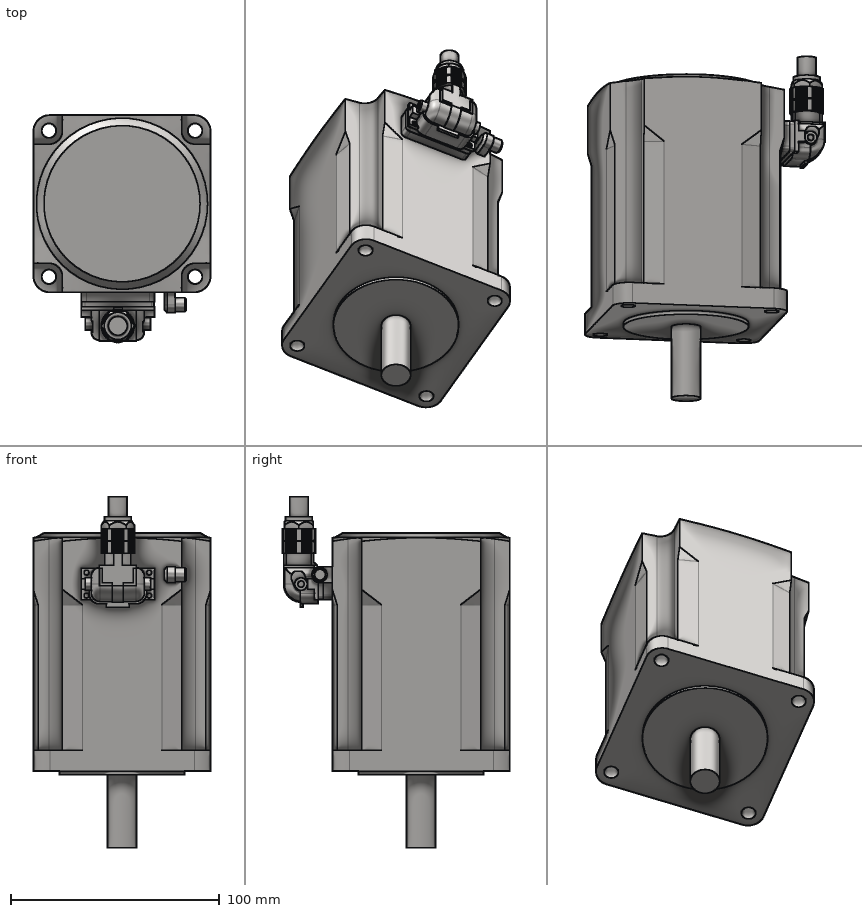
import math

import cadquery as cq

SIDE = 85.0
HALF = SIDE / 2
FLANGE_THICKNESS = 10.0
FLANGE_CORNER_RADIUS = 8.0
BOLT_SPACING = 70.0
BOLT_HOLE_DIAMETER = 6.8
BOLT_RELIEF_RADIUS = 6.5
MOTOR_HEIGHT = 114.15

CAP_FLAT_RADIUS = 37.4
CAP_STEP_RADIUS = 41.0
CAP_STEEP_ANGLE = 30.0
CAP_SHALLOW_ANGLE = 11.0

TAPER_START = 19.0
TAPER_DEPTH = 2.3
TAPER_TOP = 79.7
TAPER_RUNOUT = 7.3

PILOT_DIAMETER = 60.0
PILOT_HEIGHT = 1.8
SHAFT_DIAMETER = 14.0
SHAFT_LENGTH = 36.8

PLUG_X = -2.0
PLUG_Z = 89.6
BASE_WIDTH = 35.2
BASE_HEIGHT = 15.2
BASE_DEPTH = 4.4
BASE_CORNER_RADIUS = 2.5
LIP_DEPTH = 6.8
LIP_INSET = 0.2
LIP_CORNER_RADIUS = 1.5
SEAT_DEPTH = 8.6
SEAT_SCREW_DIAMETER = 2.4
SEAT_SCREW_SPACING_X = 30.0
SEAT_SCREW_SPACING_Z = 11.0
SEAT_SCREW_SINK = 0.8
TONGUE_HEIGHT = 5.1
TONGUE_DEPTH = 11.8

HOUSING_WIDTH = 25.4
HOUSING_TOP = 97.5
HOUSING_BOTTOM = 81.2
HOUSING_DEPTH = 23.0
HOUSING_BEND_RADIUS = 8.5
HOUSING_EDGE_RADIUS = 4.1
CORE_TOP = 98.5
CORE_WIDTH = 17.7
CORE_PROUD = 0.3
PLATE_WIDTH = 14.9
PLATE_HEIGHT = 7.0
PLATE_GROOVE_WIDTH = 1.3
PLATE_GROOVE_DEPTH = 0.5
PLATE_BRIDGE_WIDTH = 5.2

SKIRT_WIDTH = 27.5
SKIRT_BOTTOM = 80.1
SKIRT_TOP = 88.0
SKIRT_DEPTH = 15.3
SKIRT_CORNER_RADIUS = 5.0
TAB_WIDTH = 10.9
TAB_THICKNESS = 1.3
TAB_BOTTOM = 78.6

PIVOT_DIAMETER = 6.0
PIVOT_RECESS_DIAMETER = 3.0
PIVOT_RECESS_DEPTH = 1.0
PIVOT_SPAN = 31.4
PIVOT_DEPTH = 15.0
POCKET_RADIUS = 3.3
POCKET_DEPTH = 0.8
POCKET_END_DEPTH = 16.4
POCKET_END_Z = 92.8

GLAND_DEPTH = 16.0
NECK_RADIUS = 6.3
NECK_KEY_WIDTH = 4.0
NECK_KEY_BACK_DEPTH = 8.8
NECK_KEY_FOOT_DEPTH = 7.2
COLLAR_BOTTOM = 104.4
COLLAR_TOP = 116.1
COLLAR_RADIUS = 8.0
KNURL_DEPTH = 0.4
KNURL_SECTORS = 6
KNURLS_PER_SECTOR = 7
PLAIN_BAND_ANGLE = 18.0
COLLAR_GROOVE_WIDTH = 0.4
NUT_TOP = 120.0
NUT_EDGE_HEIGHT = 1.6
RING_TOP = 121.9
RING_RADIUS = 6.5
CABLE_RADIUS = 4.5
CABLE_TOP = 131.5

ELBOW_X = 20.3
ELBOW_Z = 94.1
ELBOW_LENGTH = 5.2
ELBOW_DIAMETER = 7.8
ELBOW_DEPTH = 5.9
ELBOW_CHAMFER = 1.4
OUTLET_DIAMETER = 6.8
OUTLET_END = 30.8
OUTLET_CHAMFER = 0.8


def side_block(x_center, z_low, z_high, width, depth_start, depth_end):
    """Box on the -Y side, placed by its heights and its depths from that side."""
    return (
        cq.Workplane("XY")
        .box(width, depth_end - depth_start, z_high - z_low, centered=(True, False, False))
        .translate((x_center, -HALF - depth_end, z_low))
    )


def upright_cylinder(radius, z_low, z_high):
    """Cylinder on the cable gland's vertical axis."""
    axis = (PLUG_X, -HALF - GLAND_DEPTH, z_low)
    return cq.Workplane("XY", origin=axis).circle(radius).extrude(z_high - z_low)


def cap_envelope():
    """Solid of revolution that shapes the top end of the motor."""
    corner_radius = HALF * math.sqrt(2)
    steep_drop = (CAP_STEP_RADIUS - CAP_FLAT_RADIUS) * math.tan(math.radians(CAP_STEEP_ANGLE))
    shallow_drop = (corner_radius - CAP_STEP_RADIUS) * math.tan(math.radians(CAP_SHALLOW_ANGLE))
    step_z = MOTOR_HEIGHT - steep_drop
    return (
        cq.Workplane("XZ")
        .moveTo(0, 0)
        .lineTo(corner_radius, 0)
        .lineTo(corner_radius, step_z - shallow_drop)
        .lineTo(CAP_STEP_RADIUS, step_z)
        .lineTo(CAP_FLAT_RADIUS, MOTOR_HEIGHT)
        .lineTo(0, MOTOR_HEIGHT)
        .close()
        .revolve(360, (0, 0, 0), (0, 1, 0))
    )


def corner_relief():
    """Screwdriver clearance over the bolt hole at the +X +Y corner."""
    bolt = BOLT_SPACING / 2
    inner = bolt - BOLT_RELIEF_RADIUS
    size = SIDE - inner
    return (
        cq.Workplane("XY", origin=(inner, inner, FLANGE_THICKNESS))
        .rect(size, size, centered=False)
        .extrude(MOTOR_HEIGHT)
        .edges("|Z and <X and <Y")
        .fillet(BOLT_RELIEF_RADIUS)
    )


def side_taper():
    """Cutter for the taper on the +Y side beside the +X +Y corner relief."""
    run = BOLT_SPACING / 2 - BOLT_RELIEF_RADIUS - TAPER_START
    angle = math.atan2(TAPER_DEPTH, run)
    runout_slope = TAPER_RUNOUT / (run * math.sin(angle))
    reach = 2 * TAPER_DEPTH
    length = 2 * run
    return (
        cq.Workplane("YZ")
        .moveTo(0, FLANGE_THICKNESS)
        .lineTo(reach, FLANGE_THICKNESS)
        .lineTo(reach, TAPER_TOP + reach * runout_slope)
        .lineTo(0, TAPER_TOP)
        .close()
        .extrude(length)
        .rotate((0, 0, 0), (0, 0, 1), -math.degrees(angle))
        .translate((TAPER_START, HALF, 0))
    )


def make_motor():
    body = cq.Workplane("XY").rect(SIDE, SIDE).extrude(MOTOR_HEIGHT)
    body = body.edges("|Z").fillet(FLANGE_CORNER_RADIUS).intersect(cap_envelope())
    relief = corner_relief()
    taper = side_taper()
    for quarter in range(4):
        turn = 90 * quarter
        body = body.cut(relief.rotate((0, 0, 0), (0, 0, 1), turn))
        for cutter in (taper, taper.mirror("YZ")):
            body = body.cut(cutter.rotate((0, 0, 0), (0, 0, 1), turn))
    holes = (
        cq.Workplane("XY")
        .rect(BOLT_SPACING, BOLT_SPACING, forConstruction=True)
        .vertices()
        .circle(BOLT_HOLE_DIAMETER / 2)
        .extrude(FLANGE_THICKNESS)
    )
    pilot = cq.Workplane("XY").circle(PILOT_DIAMETER / 2).extrude(-PILOT_HEIGHT)
    shaft = cq.Workplane("XY").circle(SHAFT_DIAMETER / 2).extrude(-SHAFT_LENGTH)
    return body.cut(holes).union(pilot).union(shaft)


def make_base():
    """Stepped socket block, the plug's screw seat and its side tongues."""
    low = PLUG_Z - BASE_HEIGHT / 2
    high = PLUG_Z + BASE_HEIGHT / 2
    block = side_block(PLUG_X, low, high, BASE_WIDTH, 0, BASE_DEPTH)
    block = block.edges("|Y").fillet(BASE_CORNER_RADIUS)
    lip_width = BASE_WIDTH - 2 * LIP_INSET
    lip = side_block(
        PLUG_X, low + LIP_INSET, high - LIP_INSET, lip_width, BASE_DEPTH, LIP_DEPTH
    )
    lip = lip.edges("|Y").fillet(LIP_CORNER_RADIUS)
    seat = side_block(PLUG_X, low, high, BASE_WIDTH, LIP_DEPTH, SEAT_DEPTH)
    screw_sinks = (
        cq.Workplane("XZ", origin=(PLUG_X, -HALF - SEAT_DEPTH, PLUG_Z))
        .rect(SEAT_SCREW_SPACING_X, SEAT_SCREW_SPACING_Z, forConstruction=True)
        .vertices()
        .circle(SEAT_SCREW_DIAMETER / 2)
        .extrude(-SEAT_SCREW_SINK)
    )
    tongue_low = PLUG_Z - TONGUE_HEIGHT / 2
    tongues = side_block(
        PLUG_X, tongue_low, tongue_low + TONGUE_HEIGHT, BASE_WIDTH, LIP_DEPTH, TONGUE_DEPTH
    )
    return block.union(lip).union(seat.cut(screw_sinks)).union(tongues)


def plate_groove():
    """Groove framing the name plate at the sides and, in two parts, below."""
    front = HOUSING_DEPTH + CORE_PROUD
    floor = front - PLATE_GROOVE_DEPTH
    high = CORE_TOP - PLATE_GROOVE_WIDTH
    low = high - PLATE_HEIGHT
    outer_low = low - PLATE_GROOVE_WIDTH
    outer_width = PLATE_WIDTH + 2 * PLATE_GROOVE_WIDTH
    outer = side_block(PLUG_X, outer_low, high, outer_width, floor, front)
    plate = side_block(PLUG_X, low, high, PLATE_WIDTH, floor, front)
    bridge = side_block(PLUG_X, outer_low, low, PLATE_BRIDGE_WIDTH, floor, front)
    return outer.cut(plate).cut(bridge)


def pivot_pocket(x_start):
    """Oblong pocket of POCKET_DEPTH along X, running up and outwards from the pivot."""
    run = POCKET_END_DEPTH - PIVOT_DEPTH
    rise = POCKET_END_Z - PLUG_Z
    middle_y = -HALF - (PIVOT_DEPTH + POCKET_END_DEPTH) / 2
    middle_z = (PLUG_Z + POCKET_END_Z) / 2
    length = math.hypot(run, rise) + 2 * POCKET_RADIUS
    return (
        cq.Workplane("YZ", origin=(x_start, middle_y, middle_z))
        .slot2D(length, 2 * POCKET_RADIUS, 90 + math.degrees(math.atan2(run, rise)))
        .extrude(POCKET_DEPTH)
    )


def bent_block(width, z_low, z_high, depth):
    """Block on the screw seat with a large bend at its lower outer edge."""
    block = side_block(PLUG_X, z_low, z_high, width, SEAT_DEPTH, depth)
    return block.edges("<Y and <Z").fillet(HOUSING_BEND_RADIUS)


def make_housing():
    """Rounded shell with a raised square core and a strip down its bend."""
    shell = bent_block(HOUSING_WIDTH, HOUSING_BOTTOM, HOUSING_TOP, HOUSING_DEPTH)
    shell = shell.faces("<X or >X").edges("not >Y").fillet(HOUSING_EDGE_RADIUS)
    for x_start in (-HOUSING_WIDTH / 2, HOUSING_WIDTH / 2 - POCKET_DEPTH):
        shell = shell.cut(pivot_pocket(PLUG_X + x_start))
    front = HOUSING_DEPTH + CORE_PROUD
    core_low = CORE_TOP - PLATE_HEIGHT - 2 * PLATE_GROOVE_WIDTH
    core = side_block(PLUG_X, core_low, CORE_TOP, CORE_WIDTH, SEAT_DEPTH, front)
    strip = bent_block(PLATE_BRIDGE_WIDTH, HOUSING_BOTTOM - CORE_PROUD, CORE_TOP, front)
    return shell.union(core).union(strip).cut(plate_groove())


def make_skirt():
    """Rounded apron below the housing with a thin tab at its outer end."""
    skirt = side_block(PLUG_X, SKIRT_BOTTOM, SKIRT_TOP, SKIRT_WIDTH, LIP_DEPTH, SKIRT_DEPTH)
    skirt = skirt.edges("|Y and <Z").fillet(SKIRT_CORNER_RADIUS)
    tab = side_block(
        PLUG_X, TAB_BOTTOM, HOUSING_BOTTOM, TAB_WIDTH, SKIRT_DEPTH - TAB_THICKNESS, SKIRT_DEPTH
    )
    return skirt.union(tab)


def make_pivots():
    """Coaxial bosses on both sides of the housing, recessed at the ends."""
    start = PLUG_X - PIVOT_SPAN / 2
    recess_radius = PIVOT_RECESS_DIAMETER / 2
    axis = (start, -HALF - PIVOT_DEPTH, PLUG_Z)
    bar = cq.Workplane("YZ", origin=axis).circle(PIVOT_DIAMETER / 2).extrude(PIVOT_SPAN)
    bar = bar.faces("<X").workplane().circle(recess_radius).cutBlind(-PIVOT_RECESS_DEPTH)
    return bar.faces(">X").workplane().circle(recess_radius).cutBlind(-PIVOT_RECESS_DEPTH)


def make_collar():
    """Round collar with knurled sectors between plain bands."""
    sector = 360 / KNURL_SECTORS
    knurl_pitch = (sector - PLAIN_BAND_ANGLE) / KNURLS_PER_SECTOR
    collar = upright_cylinder(COLLAR_RADIUS, COLLAR_BOTTOM, COLLAR_TOP)
    knurl_width = COLLAR_RADIUS * math.radians(knurl_pitch)
    notch = (
        cq.Workplane("XY", origin=(PLUG_X, -HALF - GLAND_DEPTH, COLLAR_BOTTOM))
        .moveTo(COLLAR_RADIUS - KNURL_DEPTH, 0)
        .lineTo(COLLAR_RADIUS + KNURL_DEPTH, knurl_width)
        .lineTo(COLLAR_RADIUS + KNURL_DEPTH, -knurl_width)
        .close()
        .extrude(COLLAR_TOP - COLLAR_BOTTOM)
    )
    axis_low = (PLUG_X, -HALF - GLAND_DEPTH, 0)
    axis_high = (PLUG_X, -HALF - GLAND_DEPTH, 1)
    cutters = []
    for sector_index in range(KNURL_SECTORS):
        first = sector_index * sector + (PLAIN_BAND_ANGLE + knurl_pitch) / 2
        for knurl_index in range(KNURLS_PER_SECTOR):
            turn = first + knurl_index * knurl_pitch
            cutters.append(notch.rotate(axis_low, axis_high, turn).val())
    collar = cq.Workplane(collar.val().cut(*cutters))
    middle = (COLLAR_BOTTOM + COLLAR_TOP) / 2
    groove_low = middle - COLLAR_GROOVE_WIDTH / 2
    groove_high = middle + COLLAR_GROOVE_WIDTH / 2
    groove = upright_cylinder(COLLAR_RADIUS, groove_low, groove_high)
    core = upright_cylinder(COLLAR_RADIUS - KNURL_DEPTH, groove_low, groove_high)
    return collar.cut(groove.cut(core))


def make_nut():
    """Hexagon nut with its upper corners turned to a cone, then a plain ring."""
    axis = (PLUG_X, -HALF - GLAND_DEPTH, COLLAR_TOP)
    height = RING_TOP - COLLAR_TOP
    hexagon = cq.Workplane("XY", origin=axis).polygon(6, 2 * COLLAR_RADIUS).extrude(height)
    turned = (
        cq.Workplane("XZ")
        .moveTo(0, 0)
        .lineTo(COLLAR_RADIUS, 0)
        .lineTo(COLLAR_RADIUS, NUT_EDGE_HEIGHT)
        .lineTo(RING_RADIUS, NUT_TOP - COLLAR_TOP)
        .lineTo(RING_RADIUS, height)
        .lineTo(0, height)
        .close()
        .revolve(360, (0, 0, 0), (0, 1, 0))
        .translate(axis)
    )
    return hexagon.intersect(turned)


def neck_key():
    """Plate through the neck in the YZ plane with a sloped foot towards the motor."""
    foot_rise = NECK_KEY_BACK_DEPTH - NECK_KEY_FOOT_DEPTH
    front = HOUSING_DEPTH + CORE_PROUD
    return (
        cq.Workplane("YZ", origin=(PLUG_X - NECK_KEY_WIDTH / 2, -HALF, 0))
        .moveTo(-front, CORE_TOP)
        .lineTo(-front, COLLAR_BOTTOM)
        .lineTo(-NECK_KEY_BACK_DEPTH, COLLAR_BOTTOM)
        .lineTo(-NECK_KEY_BACK_DEPTH, CORE_TOP + foot_rise)
        .lineTo(-NECK_KEY_FOOT_DEPTH, CORE_TOP)
        .close()
        .extrude(NECK_KEY_WIDTH)
    )


def make_gland():
    neck = upright_cylinder(NECK_RADIUS, CORE_TOP, COLLAR_BOTTOM)
    cable = upright_cylinder(CABLE_RADIUS, RING_TOP, CABLE_TOP)
    return neck.union(neck_key()).union(make_collar()).union(make_nut()).union(cable)


def make_elbow():
    """Round-ended block standing on the motor with an outlet along +X."""
    radius = ELBOW_DIAMETER / 2
    block = (
        cq.Workplane("YZ", origin=(ELBOW_X, -HALF, ELBOW_Z))
        .moveTo(0, radius)
        .lineTo(-ELBOW_DEPTH, radius)
        .threePointArc((-ELBOW_DEPTH - radius, 0), (-ELBOW_DEPTH, -radius))
        .lineTo(0, -radius)
        .close()
        .extrude(ELBOW_LENGTH)
        .faces("<X")
        .edges("not >Y")
        .chamfer(ELBOW_CHAMFER)
    )
    outlet_start = ELBOW_X + ELBOW_LENGTH
    outlet = (
        cq.Workplane("YZ", origin=(outlet_start, -HALF - ELBOW_DEPTH, ELBOW_Z))
        .circle(OUTLET_DIAMETER / 2)
        .extrude(OUTLET_END - outlet_start)
        .faces(">X")
        .chamfer(OUTLET_CHAMFER)
    )
    return block.union(outlet)


result = make_motor()
for feature in (
    make_base(),
    make_housing(),
    make_skirt(),
    make_pivots(),
    make_gland(),
    make_elbow(),
):
    result = result.union(feature)